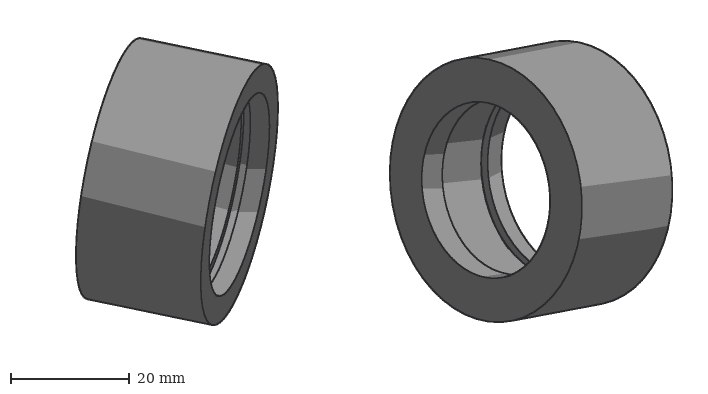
import cadquery as cq

outer_diameter = 45.0
width = 22.0
bore_diameter = 30.0
lip_width = 5.0
seat_diameter = 35.0
seat_width = width - lip_width
groove_diameter = 38.0
groove_width = 1.6
lip_to_groove = 12.0

lip_face = -width / 2
seat_floor = lip_face + lip_width
groove_start = seat_floor + lip_to_groove


def cylinder_along_x(diameter, start, length):
    return cq.Workplane("YZ").workplane(offset=start).circle(diameter / 2).extrude(length)


body = cylinder_along_x(outer_diameter, lip_face, width)
bore = cylinder_along_x(bore_diameter, lip_face, width)
seat = cylinder_along_x(seat_diameter, seat_floor, seat_width)
groove = cylinder_along_x(groove_diameter, groove_start, groove_width)

result = body.cut(bore).cut(seat).cut(groove)